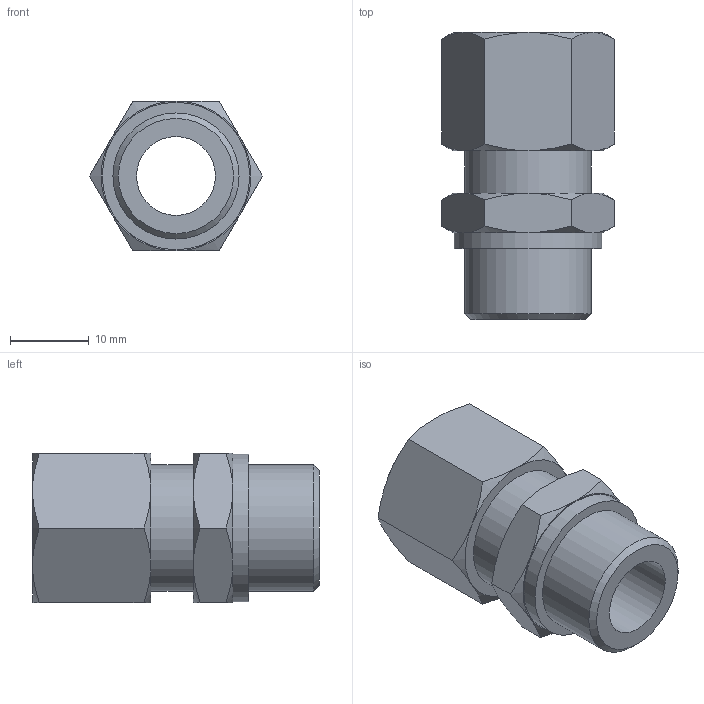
import cadquery as cq
import math


hex_sides = 6
across_flats = 19.0
bore_diameter = 10.0
body_diameter = 16.0
flange_diameter = 18.7
hex_chamfer_angle = 30.0
end_chamfer = 0.7

thread_length = 9.0
flange_length = 2.0
body_hex_length = 5.0
neck_length = 5.4
nut_length = 15.0

flange_start = thread_length
body_hex_start = flange_start + flange_length
neck_start = body_hex_start + body_hex_length
nut_start = neck_start + neck_length
total_length = nut_start + nut_length

across_corners = across_flats / math.cos(math.pi / hex_sides)
corner_overhang = (across_corners - across_flats) / 2
corner_drop = corner_overhang * math.tan(math.radians(hex_chamfer_angle))


def plane_at(y):
    """Plane square to the part axis at position y, with its normal along +Y."""
    return cq.Plane(origin=(0, y, 0), xDir=(1, 0, 0), normal=(0, 1, 0))


def cylinder(start, length, diameter):
    return cq.Workplane(plane_at(start)).circle(diameter / 2).extrude(length)


def chamfered_hex(start, length):
    """Hexagon with corners on the X axis, both ends turned to a cone."""
    prism = cq.Workplane(plane_at(start)).polygon(hex_sides, across_corners).extrude(length)
    flat_radius = across_flats / 2
    corner_radius = across_corners / 2
    end = start + length
    turned_envelope = (
        cq.Workplane("XY")
        .moveTo(0, start)
        .lineTo(flat_radius, start)
        .lineTo(corner_radius, start + corner_drop)
        .lineTo(corner_radius, end - corner_drop)
        .lineTo(flat_radius, end)
        .lineTo(0, end)
        .close()
        .revolve(360, (0, 0, 0), (0, 1, 0))
    )
    return prism.intersect(turned_envelope)


shank = cylinder(0, nut_start, body_diameter).faces("<Y").chamfer(end_chamfer)
flange = cylinder(flange_start, flange_length, flange_diameter)
body_hex = chamfered_hex(body_hex_start, body_hex_length)
nut = chamfered_hex(nut_start, nut_length)
bore = cylinder(0, total_length, bore_diameter)

result = shank.union(flange).union(body_hex).union(nut).cut(bore)